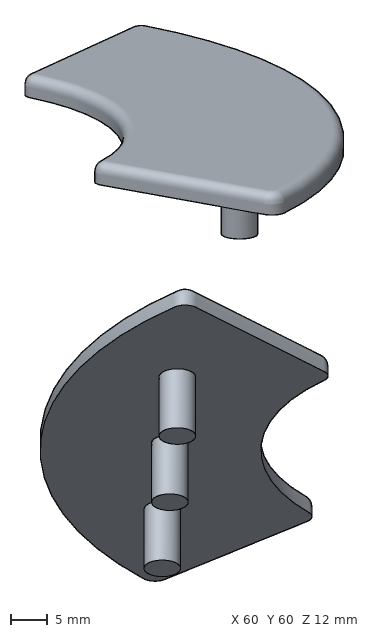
import cadquery as cq

outer_radius = 60.0
inner_radius = outer_radius / 2
plate_thickness = 3.0
corner_radius = 2.0
top_fillet = 1.5

pin_diameter = 5.0
pin_length = 9.0
middle_pin = outer_radius / 2
pin_spacing = 14.1


def make_plate():
    """Quarter ring with rounded corners and a rounded top rim."""
    ring = cq.Workplane("XY").circle(outer_radius).circle(inner_radius).extrude(plate_thickness)
    quadrant = cq.Workplane("XY").rect(outer_radius, outer_radius, centered=False).extrude(plate_thickness)
    plate = ring.intersect(quadrant)
    plate = plate.edges("|Z").fillet(corner_radius)
    return plate.faces(">Z").edges().fillet(top_fillet)


def make_pins():
    """Three round pins hanging below the plate."""
    centers = [(middle_pin + step * pin_spacing, middle_pin - step * pin_spacing) for step in (-1, 0, 1)]
    return cq.Workplane("XY").pushPoints(centers).circle(pin_diameter / 2).extrude(-pin_length)


result = make_plate().union(make_pins())